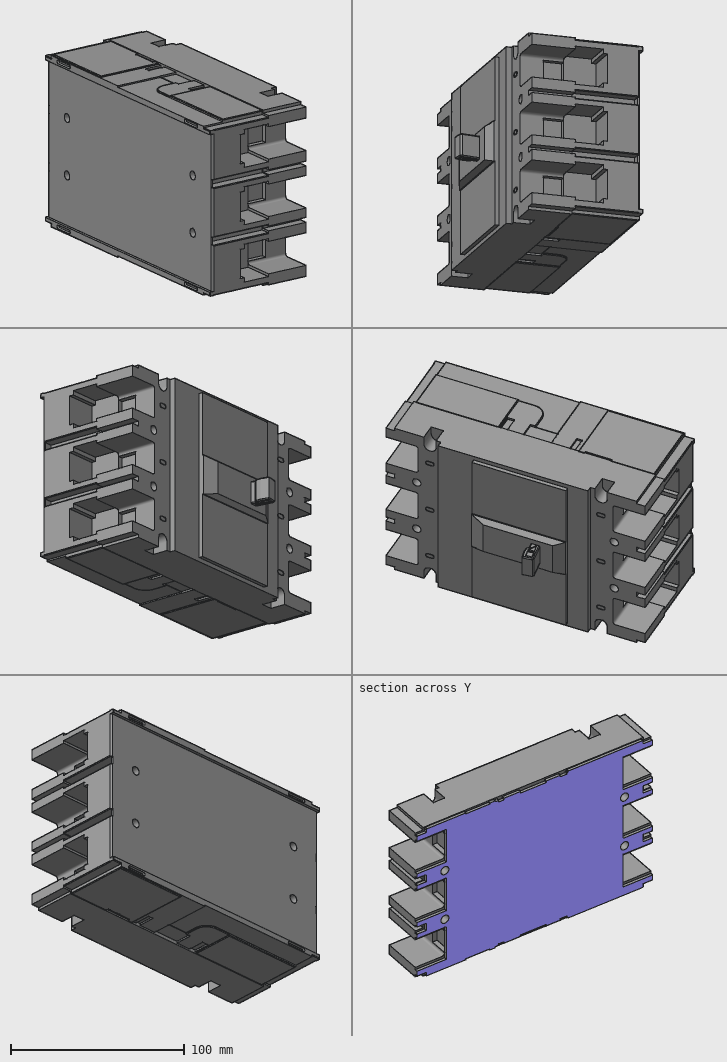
import cadquery as cq

length = 165.0
width = 107.0
height = 91.4
pole_pitch = 35.0
pole_positions = (-pole_pitch, 0, pole_pitch)
barrier_positions = (-pole_pitch / 2, pole_pitch / 2)
signs = (-1, 1)

case_top = 41.5
case_end_half_width = 50.5
case_end_step_x = 76.0
rail_depth = 3.0
end_wall_foot_chamfer = 1.2
end_wall_edge_chamfer = 0.5
base_plate_bottom = 1.8
base_plate_half_length = 81.2
rail_inner_z = 48.0
rail_chamfer = 0.5
low_side_z = 51.5
mid_side_z = 52.3
panel_z = 53.0
panel_bottom = 0.8
panel_chamfer = 0.5

left_panel_end = -27.4
mid_panel_end = -9.5
right_panel_start = 23.1
label_start = 4.5
label_bottom = 13.7
label_radius = 8.5
side_recess_bottom = 30.7
side_recess_floor_z = 51.2
side_recesses = ((-25.0, -21.6), (-9.9, 8.0), (18.0, 22.5))
latch_start = -48.2
latch_end = -31.4
latch_depth = 1.6

cover_top = 68.1
cover_end_step_x = 77.0
cover_end_half_width = 51.6
plateau_half_length = 47.7
plateau_top = 71.6

escutcheon_start = -34.8
escutcheon_end = 25.0
strip_top = 74.1
strip_half_width = 50.8
escutcheon_base_top = 74.7
escutcheon_top = 78.2
escutcheon_half_width = 12.2
escutcheon_top_start = -28.4
escutcheon_top_end = 16.0
escutcheon_top_half_width = 10.0

handle_half_width = 7.0
handle_chamfer = 0.7
handle_recess_depth = 0.7

terminal_depth = 20.5
terminal_width = 19.8
terminal_fillet = 1.6
window_depth = 3.3
window_width = 15.7
window_top = 54.0
lug_width = 23.1
lug_bottom = 24.5
lug_tongue_width = 17.8
lug_tongue_bottom = 21.8

cover_groove_width = 3.0
cover_groove_z = 17.2
case_groove_width = 4.8

mount_hole_diameter = 5.3
mount_hole_x = 62.9
screw_x = 54.5
screw_head_length = 5.3
screw_head_width = 2.6
screw_head_rise = 0.3
notch_width = 7.8
notch_bottom = 58.0
notch_depth = 9.0

clip_slot_length = 13.0
clip_slot_width = 2.3
clip_slot_depth = 1.0
clip_slot_taper = 30
clip_slot_x = 63.7
clip_slot_left_z = 50.3
clip_slot_right_z = 49.7


def block(x_start, x_end, y_start, y_end, z_start, z_end):
    """Box between two opposite corners."""
    return (
        cq.Workplane("XY")
        .box(x_end - x_start, y_end - y_start, z_end - z_start, centered=False)
        .translate((x_start, y_start, z_start))
    )


def wide_block(half_length, y_start, y_end, half_width):
    """Box centred on X and Z."""
    return block(-half_length, half_length, y_start, y_end, -half_width, half_width)


def along_y(y_start):
    """Sketch plane at one height whose local axes are X and Z; negative extrusions go towards +Y."""
    return cq.Workplane("XZ", origin=(0, y_start, 0))


def on_both_sides(shape):
    """Shape on the +Z side joined with its copy on the -Z side."""
    return shape.union(shape.mirror("XY"))


def on_both_ends(shape):
    """Shape at the -X end joined with its copy at the +X end."""
    return shape.union(shape.mirror("YZ"))


def make_end_walls():
    """Core of the case out to both ends, with grooves between the poles and eased outer edges."""
    walls = wide_block(length / 2, base_plate_bottom, case_top, case_end_half_width)
    walls = walls.edges("|Z and <Y").chamfer(end_wall_foot_chamfer)
    for barrier_z in barrier_positions:
        groove = block(
            -length / 2, -case_end_step_x, base_plate_bottom, case_top,
            barrier_z - case_groove_width / 2, barrier_z + case_groove_width / 2,
        )
        walls = walls.cut(on_both_ends(groove))
    return walls.faces("<X or >X").edges("|Y").chamfer(end_wall_edge_chamfer)


def make_rail():
    """Foot along the +Z edge of the base, standing below the base plate."""
    rail = block(-length / 2, length / 2, 0, rail_depth, rail_inner_z, case_end_half_width)
    rail = rail.faces("<Y").edges(">Z or |Z").chamfer(rail_chamfer)
    core = block(-case_end_step_x, case_end_step_x, 0, case_top, rail_inner_z, low_side_z)
    return rail.union(core)


def make_case():
    plate = wide_block(base_plate_half_length, base_plate_bottom, rail_depth, rail_inner_z)
    return make_end_walls().union(plate).union(on_both_sides(make_rail()))


def make_side_panels():
    """Raised panels on the +Z side of the case."""
    buried_top = case_top + panel_chamfer
    left = block(-case_end_step_x, left_panel_end, panel_bottom, buried_top, rail_inner_z, panel_z)
    left = left.faces(">Z").chamfer(panel_chamfer)
    middle = block(-case_end_step_x, mid_panel_end, 0, case_top, rail_inner_z, mid_side_z)
    label = block(label_start, case_end_step_x, label_bottom, buried_top, rail_inner_z, mid_side_z)
    label = label.edges("|Z and <X and <Y").fillet(label_radius)
    label = label.faces(">Z").chamfer(panel_chamfer)
    right = block(right_panel_start, case_end_step_x, label_bottom, buried_top, rail_inner_z, panel_z)
    right = right.faces(">Z").chamfer(panel_chamfer)
    panels = left.union(middle).union(label).union(right)
    latch = block(latch_start, latch_end, case_top - latch_depth, case_top, mid_side_z, panel_z)
    return panels.cut(latch)


def make_side_recesses():
    """Recesses under the cover edge, cut into the +Z side of the case."""
    recesses = cq.Workplane("XY")
    for start, end in side_recesses:
        recesses = recesses.union(
            block(start, end, side_recess_bottom, case_top, side_recess_floor_z, panel_z)
        )
    return recesses


def make_cover():
    cover = wide_block(cover_end_step_x, case_top, cover_top, width / 2)
    cover = cover.union(wide_block(length / 2, case_top, cover_top, cover_end_half_width))
    return cover.union(wide_block(plateau_half_length, cover_top, plateau_top, width / 2))


def make_escutcheon():
    strip = block(
        escutcheon_start, escutcheon_end, plateau_top, strip_top, -strip_half_width, strip_half_width
    )
    base = block(
        escutcheon_start, escutcheon_end, strip_top, escutcheon_base_top,
        -escutcheon_half_width, escutcheon_half_width,
    )
    rise = escutcheon_top - escutcheon_base_top
    bevel = (
        along_y(escutcheon_base_top)
        .center((escutcheon_start + escutcheon_end) / 2, 0)
        .rect(escutcheon_end - escutcheon_start, 2 * escutcheon_half_width)
        .workplane(offset=-rise, origin=((escutcheon_top_start + escutcheon_top_end) / 2, 0, 0))
        .rect(escutcheon_top_end - escutcheon_top_start, 2 * escutcheon_top_half_width)
        .loft(combine=True)
    )
    return strip.union(base).union(bevel)


def make_handle():
    outline = [
        (-20.0, 76.5), (-21.8, 89.5), (-21.1, 90.6), (-14.8, height),
        (-13.5, 86.1), (-13.5, 82.7), (-14.8, 81.0), (-14.0, 76.5),
    ]
    upper_recess = [(-20.0, 89.1), (-16.2, 89.1), (-15.5, 85.1), (-19.5, 84.5)]
    lower_recess = [(-19.3, 83.8), (-15.2, 83.8), (-18.2, 78.5)]
    handle = (
        cq.Workplane("XY").polyline(outline).close().extrude(handle_half_width, both=True)
    )
    handle = handle.faces(">Z or <Z").chamfer(handle_chamfer)
    for points in (upper_recess, lower_recess):
        recess = (
            cq.Workplane("XY", origin=(0, 0, handle_half_width - handle_recess_depth))
            .polyline(points).close().extrude(handle_recess_depth)
        )
        handle = handle.cut(on_both_sides(recess))
    return handle


def make_terminal_pocket(pole_z):
    """Pocket for one terminal at the -X end, open to the end and to the top of the cover."""
    back = -length / 2 + terminal_depth
    opening = block(
        -length / 2, back, case_top, cover_top, pole_z - terminal_width / 2, pole_z + terminal_width / 2
    )
    opening = opening.edges("|Y and >X").fillet(terminal_fillet)
    window = block(
        back, back + window_depth, case_top, window_top, pole_z - window_width / 2, pole_z + window_width / 2
    )
    lug = block(-length / 2, back, lug_bottom, case_top, pole_z - lug_width / 2, pole_z + lug_width / 2)
    tongue = block(
        -length / 2, back, lug_tongue_bottom, lug_bottom,
        pole_z - lug_tongue_width / 2, pole_z + lug_tongue_width / 2,
    )
    return opening.union(window).union(lug).union(tongue)


def make_cover_groove(groove_z):
    """Groove in the cover between two poles at the -X end."""
    return block(
        -length / 2, -cover_end_step_x, case_top, cover_top,
        groove_z - cover_groove_width / 2, groove_z + cover_groove_width / 2,
    )


def make_corner_notch():
    """Round-bottomed notch in the +Z edge of the cover near the -X end."""
    centre_z = width / 2 - notch_depth + notch_width / 2
    left = -screw_x - notch_width / 2
    right = -screw_x + notch_width / 2
    straight = block(left, right, notch_bottom, cover_top, centre_z, width / 2)
    round_end = (
        along_y(notch_bottom).center(-screw_x, centre_z).circle(notch_width / 2)
        .extrude(notch_bottom - cover_top)
    )
    return straight.union(round_end)


def make_clip_slot(x, z):
    """Tapered slot in the bottom of a rail."""
    return (
        along_y(0).center(x, z).slot2D(clip_slot_length, clip_slot_width)
        .extrude(-clip_slot_depth, taper=clip_slot_taper)
    )


body = make_case().union(on_both_sides(make_side_panels())).union(make_cover())
body = body.union(make_escutcheon()).union(make_handle())
body = body.cut(on_both_sides(make_side_recesses()))

for pole_z in pole_positions:
    body = body.cut(on_both_ends(make_terminal_pocket(pole_z)))

for side in signs:
    body = body.cut(on_both_ends(make_cover_groove(side * cover_groove_z)))

body = body.cut(on_both_sides(on_both_ends(make_corner_notch())))

clip_slots = make_clip_slot(-clip_slot_x, clip_slot_left_z)
clip_slots = clip_slots.union(make_clip_slot(clip_slot_x, clip_slot_right_z))
body = body.cut(on_both_sides(clip_slots))

mount_points = [(x * mount_hole_x, z) for x in signs for z in barrier_positions]
body = body.cut(along_y(0).pushPoints(mount_points).circle(mount_hole_diameter / 2).extrude(-height))

screw_points = [(x * screw_x, z) for x in signs for z in pole_positions]
screw_heads = (
    along_y(cover_top).pushPoints(screw_points)
    .slot2D(screw_head_length, screw_head_width).extrude(-screw_head_rise)
)
result = body.union(screw_heads)